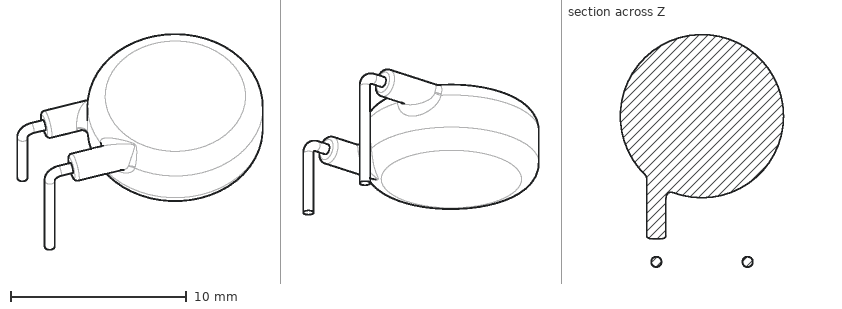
import cadquery as cq

disc_diameter = 10.0
disc_height = 4.0
disc_edge_radius = 1.0

sleeve_diameter = 1.6
sleeve_end_y = -7.0
sleeve_edge_radius = 0.2
sleeve_root_radius = 0.5
sleeve_inset = 0.02

lead_diameter = 0.6
lead_spacing = 5.2
lead_drop_y = -8.3
lead_bend_radius = 0.6
lead_bottom_z = -3.5

disc_radius = disc_diameter / 2
sleeve_radius = sleeve_diameter / 2

axis_depth = sleeve_radius + sleeve_inset
lead_positions = [
    (-lead_spacing / 2, axis_depth),
    (lead_spacing / 2, disc_height - axis_depth),
]

sleeve_start_y = -disc_radius / 2


def make_disc():
    disc = cq.Workplane("XY").circle(disc_radius).extrude(disc_height)
    return disc.edges().fillet(disc_edge_radius)


def make_sleeve(x, z):
    sleeve = (
        cq.Workplane("XZ", origin=(x, sleeve_start_y, z))
        .circle(sleeve_radius)
        .extrude(sleeve_start_y - sleeve_end_y)
    )
    return sleeve.faces("<Y").edges().fillet(sleeve_edge_radius)


def add_sleeve(body, x, z):
    joined = body.union(make_sleeve(x, z))
    root_box = cq.selectors.BoxSelector(
        (x - sleeve_diameter, -disc_radius, z - sleeve_diameter),
        (x + sleeve_diameter, sleeve_start_y, z + sleeve_diameter),
        boundingbox=True,
    )
    return joined.edges(root_box).fillet(sleeve_root_radius)


def make_lead(x, z):
    path = (
        cq.Workplane("YZ", origin=(x, 0, 0))
        .moveTo(sleeve_start_y, z)
        .lineTo(lead_drop_y + lead_bend_radius, z)
        .radiusArc((lead_drop_y, z - lead_bend_radius), -lead_bend_radius)
        .lineTo(lead_drop_y, lead_bottom_z)
    )
    profile = cq.Workplane("XZ", origin=(x, sleeve_start_y, z)).circle(lead_diameter / 2)
    return profile.sweep(path)


result = make_disc()
for x, z in lead_positions:
    result = add_sleeve(result, x, z)
for x, z in lead_positions:
    result = result.union(make_lead(x, z))